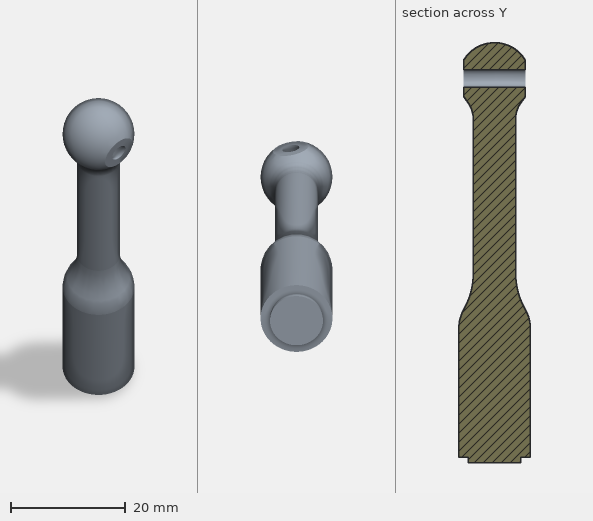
import cadquery as cq
import math

total_height = 73.25
body_radius = 6.26
neck_radius = 3.7
peg_radius = 4.6
peg_height = 1.0
body_top = 23.7
shoulder_round = 5.65
shoulder_fillet = 12.5
ball_radius = body_radius
ball_fillet = 4.75
flat_spacing = 10.85
hole_diameter = 3.0

ball_height = total_height - ball_radius


def point_at(center, radius, angle):
    """Point on a circle in the profile plane, with the angle in radians."""
    return (center[0] + radius * math.cos(angle), center[1] + radius * math.sin(angle))


round_center = (body_radius - shoulder_round, body_top)
shoulder_reach = shoulder_round + shoulder_fillet
shoulder_angle = math.acos((neck_radius + shoulder_fillet - round_center[0]) / shoulder_reach)
neck_bottom = body_top + shoulder_reach * math.sin(shoulder_angle)
fillet_center = (neck_radius + shoulder_fillet, neck_bottom)
shoulder_join = point_at(round_center, shoulder_round, shoulder_angle)
round_middle = point_at(round_center, shoulder_round, shoulder_angle / 2)
fillet_middle = point_at(fillet_center, shoulder_fillet, math.pi + shoulder_angle / 2)

ball_center = (0, ball_height)
ball_angle = math.acos((neck_radius + ball_fillet) / (ball_radius + ball_fillet))
neck_top = ball_height - (ball_radius + ball_fillet) * math.sin(ball_angle)
ball_fillet_center = (neck_radius + ball_fillet, neck_top)
ball_join = point_at(ball_center, ball_radius, -ball_angle)
ball_fillet_middle = point_at(ball_fillet_center, ball_fillet, math.pi - ball_angle / 2)


def make_turned_body():
    """Revolve the half profile about the Z axis."""
    profile = (
        cq.Workplane("XZ")
        .moveTo(0, 0)
        .lineTo(peg_radius, 0)
        .lineTo(peg_radius, peg_height)
        .lineTo(body_radius, peg_height)
        .lineTo(body_radius, body_top)
        .threePointArc(round_middle, shoulder_join)
        .threePointArc(fillet_middle, (neck_radius, neck_bottom))
        .lineTo(neck_radius, neck_top)
        .threePointArc(ball_fillet_middle, ball_join)
        .threePointArc((ball_radius, ball_height), (0, total_height))
        .close()
    )
    return profile.revolve(360, (0, 0, 0), (0, 1, 0))


def make_flat_cutter(side):
    """Block that removes the ball beyond the flat; side is -1 or +1 along X."""
    ball_size = 2 * ball_radius
    center_x = side * (flat_spacing + ball_size) / 2
    return cq.Workplane("XY").box(ball_size, ball_size, ball_size).translate((center_x, 0, ball_height))


def make_cross_hole():
    """Cylinder through the ball center along X."""
    return (
        cq.Workplane("YZ")
        .center(0, ball_height)
        .circle(hole_diameter / 2)
        .extrude(ball_radius, both=True)
    )


result = make_turned_body()
for side in (-1, 1):
    result = result.cut(make_flat_cutter(side))
result = result.cut(make_cross_hole())